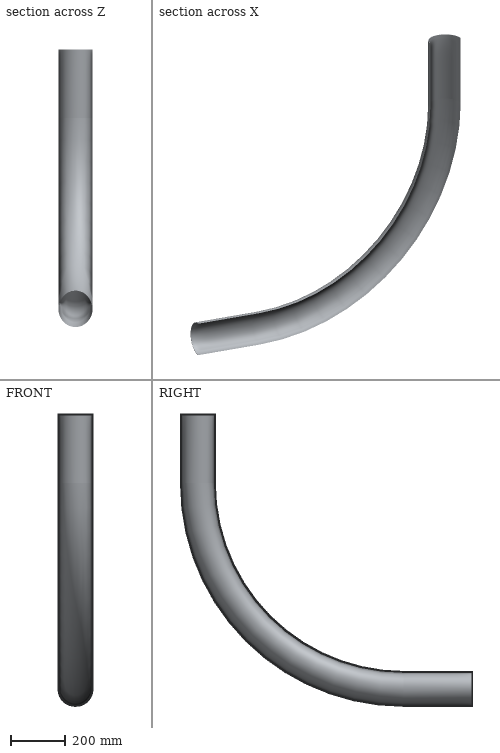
import cadquery as cq
import math

outer_diameter = 127.0
inner_diameter = 122.78
bend_radius = 762.0
leg_length = 254.0

leg_end = bend_radius + leg_length

bend_middle = bend_radius * (1 - math.sqrt(0.5))


def tube_centreline():
    """Centreline in the YZ plane, from the top of the upright leg to the end of the level leg."""
    return (
        cq.Workplane("YZ")
        .moveTo(0, leg_end)
        .lineTo(0, bend_radius)
        .threePointArc((bend_middle, bend_middle), (bend_radius, 0))
        .lineTo(leg_end, 0)
    )


def bent_tube():
    """Ring section at the top of the upright leg, swept along the centreline."""
    ring = (
        cq.Workplane("XY", origin=(0, 0, leg_end))
        .circle(outer_diameter / 2)
        .circle(inner_diameter / 2)
    )
    return ring.sweep(tube_centreline())


result = bent_tube()